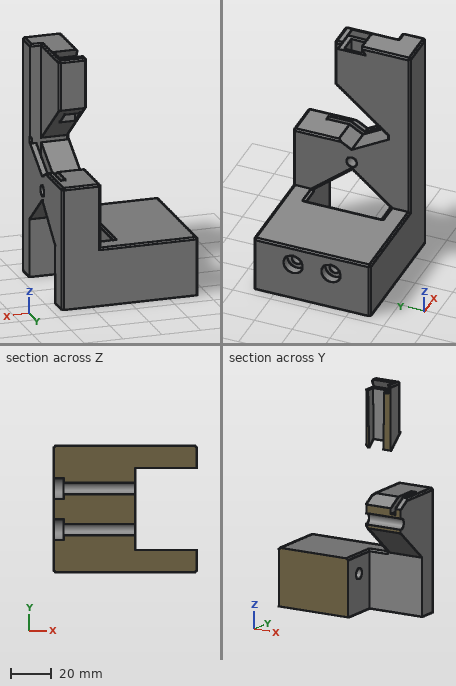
import cadquery as cq
import math

length = 70.0
width = 62.0
height = 121.0
base_height = 30.0
post_thickness = 20.0
post_front = length - post_thickness
shoulder_height = 63.0
edge_chamfer = 1.0
half_width = width / 2

head_side = 9.0
throat_side = -18.8
overhang_angle = 40.0
vee_angle = 30.0
vee_bottom = 58.9
throat_top = 72.1
head_bottom = throat_top + (head_side - throat_side) * math.tan(math.radians(overhang_angle))
throat_bottom = vee_bottom - throat_side * math.tan(math.radians(vee_angle))

window_half_width = 20.0
window_front = 39.9
window_peak = base_height + window_half_width * math.tan(math.radians(overhang_angle))

recess_front = 64.4
slot_thickness = 2.5
slot_side = 19.2
slot_floor = 56.0

dovetail_depth = 4.1
dovetail_top_half = 5.1
dovetail_floor_half = 7.3
dovetail_end = 62.7
shaft_center = 55.9
shaft_top_size = 9.0
shaft_bottom_size = 7.3
shaft_bottom = throat_top

hole_diameter = 5.5
counterbore_diameter = 10.0
counterbore_depth = 5.0
screw_offset = 10.0
screw_height = 20.0
sight_hole_height = 51.5


def box_between(low, high):
    """Axis-aligned box spanning two opposite corners."""
    sizes = [b - a for a, b in zip(low, high)]
    return cq.Workplane("XY").box(*sizes, centered=False).translate(low)


def prism_along_x(points, start, end):
    """Extrude an outline given as (Y, Z) points from X = start to X = end."""
    return cq.Workplane("YZ").workplane(offset=start).polyline(points).close().extrude(end - start)


def cylinder_along_x(y, z, diameter, depth):
    """Drill shape starting at the front face."""
    return cq.Workplane("YZ").center(y, z).circle(diameter / 2).extrude(depth)


def make_body():
    """Bevelled base and post; the throat still has a square lower corner."""
    post_outline = [
        (-half_width, 0),
        (-half_width, height),
        (head_side, height),
        (head_side, head_bottom),
        (throat_side, throat_top),
        (throat_side, shoulder_height),
        (half_width, shoulder_height),
        (half_width, 0),
    ]
    base = box_between((0, -half_width, 0), (length, half_width, base_height))
    body = base.union(prism_along_x(post_outline, post_front, length))
    bevelled_edges = [edge for edge in body.edges().vals() if is_bevelled(edge)]
    return body.newObject(bevelled_edges).chamfer(edge_chamfer)


def is_bevelled(edge):
    """True for outer edges above the foot and for the front and back rims of the post."""
    tolerance = 0.01
    box = edge.BoundingBox()
    on_foot = box.zmax < tolerance
    along_x = box.xlen > tolerance
    on_post_front = abs(box.xmax - post_front) < tolerance and not along_x
    in_inside_corner = on_post_front and box.zmax < base_height + tolerance
    on_side = box.ymax < tolerance - half_width or box.ymin > half_width - tolerance
    on_head_top = box.zmin > height - tolerance
    if on_foot or in_inside_corner:
        return False
    return not along_x or on_side or on_head_top


def vee_height(y):
    """Height of the flank of the vee at a distance from its bottom line."""
    return vee_bottom + abs(y) * math.tan(math.radians(vee_angle))


def make_vee_flank():
    """Sloping floor that fills the lower corner of the throat, bevel included."""
    wall = throat_side - edge_chamfer
    outline = [(wall, vee_bottom), (wall, vee_height(wall)), (0, vee_bottom)]
    return prism_along_x(outline, post_front, length)


def make_vee():
    """Notch below the level of the shoulder."""
    reach = -throat_side
    outline = [(0, vee_bottom), (-reach, vee_height(reach)), (reach, vee_height(reach))]
    return prism_along_x(outline, post_front, length)


def make_window():
    """Roofed window, open at the foot and the back, with a bevelled mouth."""
    outline = [
        (-window_half_width, 0),
        (-window_half_width, base_height),
        (0, window_peak),
        (window_half_width, base_height),
        (window_half_width, 0),
    ]
    opening = prism_along_x(outline, window_front, length)
    mouth_length = post_front - window_front
    side_bevel = edge_chamfer / math.sin(math.radians(overhang_angle))
    base_mouth = (
        cq.Workplane("XY")
        .workplane(offset=base_height - edge_chamfer)
        .center(post_front, 0)
        .rect(2 * mouth_length, 2 * window_half_width)
        .workplane(offset=edge_chamfer)
        .rect(2 * (mouth_length + edge_chamfer), 2 * (window_half_width + side_bevel))
        .loft(ruled=True)
    )
    base_mouth = base_mouth.intersect(box_between((0, -half_width, 0), (post_front, half_width, base_height)))
    roof_outline = [(-window_half_width, base_height), (0, window_peak), (window_half_width, base_height)]
    roof_mouth = (
        cq.Workplane("YZ")
        .workplane(offset=post_front)
        .polyline(roof_outline)
        .close()
        .offset2D(edge_chamfer, "intersection")
        .extrude(edge_chamfer, taper=45)
    )
    roof_mouth = roof_mouth.intersect(
        box_between((post_front, -half_width, base_height), (length, half_width, height))
    )
    return opening.union(base_mouth).union(roof_mouth)


def make_recess():
    """Notch in the back of the head with a bevelled lip on its top and along its front edge."""
    notch = box_between((recess_front, throat_side, throat_bottom), (length, half_width, height))
    lip = (
        cq.Workplane("XY")
        .workplane(offset=height - edge_chamfer)
        .rect(2 * (length - recess_front), 2 * (head_side - throat_side))
        .extrude(edge_chamfer, taper=-45)
        .translate((length, head_side, 0))
    )
    side_bevel = (
        cq.Workplane("XY")
        .workplane(offset=head_bottom)
        .moveTo(recess_front, head_side)
        .line(-edge_chamfer, 0)
        .line(edge_chamfer, -edge_chamfer)
        .close()
        .extrude(height - head_bottom)
    )
    return notch.union(lip).union(side_bevel)


def make_slot():
    """Slot that carries the recess down into the shoulder."""
    return box_between(
        (recess_front, throat_side, slot_floor),
        (recess_front + slot_thickness, slot_side, throat_top),
    )


def make_dovetail():
    """Dovetail groove that opens at the front of the head."""
    floor = height - dovetail_depth
    outline = [
        (-dovetail_floor_half, floor),
        (dovetail_floor_half, floor),
        (dovetail_top_half, height),
        (-dovetail_top_half, height),
    ]
    return prism_along_x(outline, post_front, dovetail_end)


def make_shaft():
    """Square shaft that tapers from the dovetail floor down into the throat."""
    shaft_top = height - dovetail_depth
    return (
        cq.Workplane("XY")
        .workplane(offset=shaft_bottom)
        .center(shaft_center, 0)
        .rect(shaft_bottom_size, shaft_bottom_size)
        .workplane(offset=shaft_top - shaft_bottom)
        .rect(shaft_top_size, shaft_top_size)
        .loft(ruled=True)
    )


def make_round_holes():
    """Two counterbored screw holes in the base and a sight hole through the post."""
    holes = cylinder_along_x(0, sight_hole_height, hole_diameter, length)
    for y in (-screw_offset, screw_offset):
        holes = holes.union(cylinder_along_x(y, screw_height, hole_diameter, length))
        holes = holes.union(cylinder_along_x(y, screw_height, counterbore_diameter, counterbore_depth))
    return holes


result = (
    make_body()
    .union(make_vee_flank())
    .cut(make_vee())
    .cut(make_window())
    .cut(make_recess())
    .cut(make_slot())
    .cut(make_dovetail())
    .cut(make_shaft())
    .cut(make_round_holes())
)